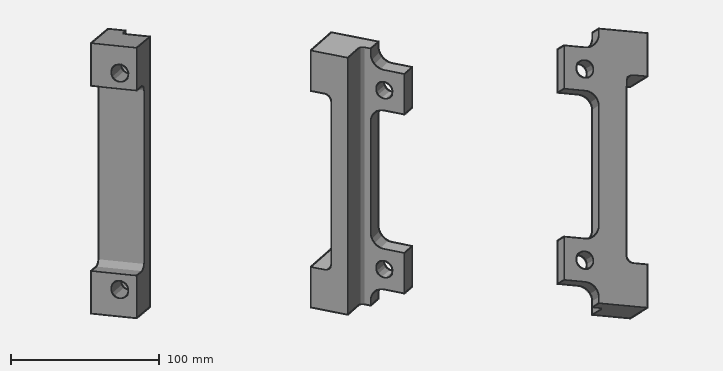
import cadquery as cq
import math

width = 32.5
depth = 60.2
height = 190.0

body_back = 35.2
recess_depth = 15.2
foot_height = 30.0
recess_radius = 5.0
ear_offset = 13.9
ear_height = 30.0
ear_radius = 10.0

plate_thickness = 12.5
step_y = 27.5
step_radius = 3.0

hole_diameter = 12.2
ear_hole_y = 45.2
ear_hole_z = ear_offset + ear_height / 2
front_hole_x = 20.5
front_hole_z = 19.0
front_hole_depth = 20.0
drill_point_angle = 118.0


def box(x0, x1, y0, y1, z0, z1):
    """Box between opposite corners."""
    return cq.Workplane("XY").box(x1 - x0, y1 - y0, z1 - z0, centered=False).translate((x0, y0, z0))


def edges_at(y, z):
    """Selector for the edge along X at the given Y and Z."""
    reach = 0.2
    return cq.selectors.BoxSelector(
        (-reach, y - reach, z - reach), (width + reach, y + reach, z + reach)
    )


def make_profile():
    """Full-width body with two rear ears and a recessed front."""
    body = box(0, width, 0, body_back, 0, height)
    ear_bottoms = (ear_offset, height - ear_offset - ear_height)
    for z in ear_bottoms:
        body = body.union(box(0, width, body_back, depth, z, z + ear_height))
    body = body.cut(box(0, width, 0, recess_depth, foot_height, height - foot_height))
    for z in ear_bottoms:
        for corner_z in (z, z + ear_height):
            body = body.edges(edges_at(body_back, corner_z)).fillet(ear_radius)
    for z in (foot_height, height - foot_height):
        body = body.edges(edges_at(recess_depth, z)).fillet(recess_radius)
    return body


def make_step_cutter():
    """Rear volume removed beside the plate, with a rounded inside corner."""
    cutter = box(plate_thickness, width, step_y, depth, 0, height)
    return cutter.edges("|Z and <X and <Y").fillet(step_radius)


def make_ear_hole(z):
    """Through hole along X."""
    return cq.Workplane("YZ").center(ear_hole_y, z).circle(hole_diameter / 2).extrude(width)


def make_front_hole(z):
    """Blind hole along Y with a conical drill point."""
    radius = hole_diameter / 2
    tip_length = radius / math.tan(math.radians(drill_point_angle / 2))
    return (
        cq.Workplane("XY")
        .polyline([
            (0, 0),
            (radius, 0),
            (radius, front_hole_depth),
            (0, front_hole_depth + tip_length),
        ])
        .close()
        .revolve(360, (0, 0), (0, 1))
        .translate((front_hole_x, 0, z))
    )


result = make_profile().cut(make_step_cutter())
for hole_z in (ear_hole_z, height - ear_hole_z):
    result = result.cut(make_ear_hole(hole_z))
for hole_z in (front_hole_z, height - front_hole_z):
    result = result.cut(make_front_hole(hole_z))